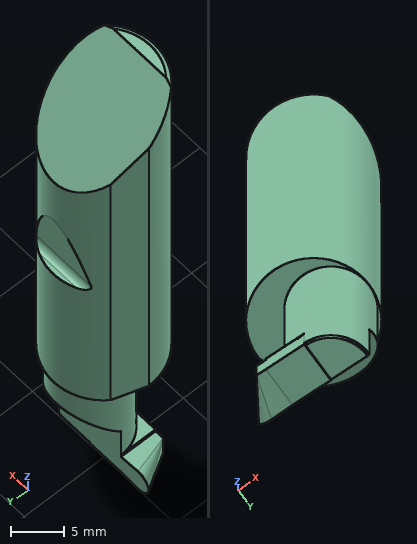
import cadquery as cq
import math

LENGTH = 63.45
SHANK_RADIUS = 6.35
SHANK_BOTTOM = 19.05
END_CHAMFER_RADIAL = 0.5
END_CHAMFER_HEIGHT = 0.25
BEVEL_START_Y = -4.5
FLAT_SWEEP_DEG = 36.0

NOTCH_BOTTOM = 37.1
NOTCH_TOP = 46.2
NOTCH_DEPTH = 1.45
NOTCH_FILLET = 0.75

NECK_RADIUS = 4.4
NECK_X = SHANK_RADIUS - NECK_RADIUS
NECK_BOTTOM = 0.3
NECK_EDGE_CHAMFER = 0.2
RELIEF_BOTTOM = 7.05

HEAD_TOP = 3.0
TIP_X = -6.3
NOSE_RADIUS = HEAD_TOP / 2
TIP_FLAT = 0.025
HEEL_X = -3.5
HEEL_BOTTOM = 0.25
HEEL_TOP = 2.8
HEEL_CORNER_RADIUS = 0.025
ROOT_X = -2.4
ROOT_BOTTOM = 0.2
ROOT_TOP = 2.8
SEAT_TOP = 3.05


def make_shank():
    """Cylinder with a chamfered end, a 45 degree bevel and one side flat."""
    base = cq.Workplane("XY", origin=(0, 0, SHANK_BOTTOM))
    shank = base.circle(SHANK_RADIUS).extrude(LENGTH - SHANK_BOTTOM)
    shank = shank.faces(">Z").edges().chamfer(END_CHAMFER_HEIGHT, END_CHAMFER_RADIAL)

    bevel_run = SHANK_RADIUS - BEVEL_START_Y
    bevel = (
        cq.Workplane("YZ")
        .polyline([(BEVEL_START_Y, LENGTH), (SHANK_RADIUS, LENGTH), (SHANK_RADIUS, LENGTH - bevel_run)])
        .close()
        .extrude(SHANK_RADIUS, both=True)
    )

    sweep = math.radians(FLAT_SWEEP_DEG)
    chord_end = (-SHANK_RADIUS * math.cos(sweep), SHANK_RADIUS * math.sin(sweep))
    arc_middle = (-SHANK_RADIUS * math.cos(sweep / 2), SHANK_RADIUS * math.sin(sweep / 2))
    side_flat = (
        cq.Workplane("XY")
        .moveTo(-SHANK_RADIUS, 0)
        .threePointArc(arc_middle, chord_end)
        .close()
        .extrude(LENGTH)
    )
    return shank.cut(bevel).cut(side_flat)


def make_notch():
    """Sloping clamping notch with a rounded root, running across the shank."""
    root_y = SHANK_RADIUS - NOTCH_DEPTH
    notch = (
        cq.Workplane("YZ")
        .polyline([(SHANK_RADIUS, NOTCH_TOP), (root_y, NOTCH_BOTTOM), (SHANK_RADIUS, NOTCH_BOTTOM)])
        .close()
        .extrude(SHANK_RADIUS, both=True)
    )
    return notch.edges("|X and <Y").fillet(NOTCH_FILLET)


def make_neck():
    """Cylindrical neck cut back to its -Y half at the lower end."""
    base = cq.Workplane("XY", origin=(NECK_X, 0, NECK_BOTTOM))
    neck = base.circle(NECK_RADIUS).extrude(SHANK_BOTTOM - NECK_BOTTOM)
    neck = neck.faces("<Z").edges().chamfer(NECK_EDGE_CHAMFER)
    relief = (
        cq.Workplane("YZ", origin=(NECK_X, 0, 0))
        .polyline([(0, 0), (0, RELIEF_BOTTOM), (NECK_RADIUS, RELIEF_BOTTOM + NECK_RADIUS), (NECK_RADIUS, 0)])
        .close()
        .extrude(NECK_RADIUS, both=True)
    )
    return neck.cut(relief)


def head_section(sketch, tip_x, bottom, top, radius):
    """Head outline in XZ: two tip corners of the given radius and a straight root."""
    diagonal = radius * (1 - math.sqrt(0.5))
    return (
        sketch.moveTo(ROOT_X, ROOT_BOTTOM)
        .lineTo(tip_x + radius, bottom)
        .threePointArc((tip_x + diagonal, bottom + diagonal), (tip_x, bottom + radius))
        .lineTo(tip_x, top - radius)
        .threePointArc((tip_x + diagonal, top - diagonal), (tip_x + radius, top))
        .lineTo(ROOT_X, ROOT_TOP)
        .close()
    )


def make_head():
    """Round-nosed cutting edge that narrows to a square heel, on a block joined to the neck."""
    edge = head_section(cq.Workplane("XZ"), TIP_X, 0, HEAD_TOP, NOSE_RADIUS - TIP_FLAT / 2)
    nose = head_section(
        edge.workplane(offset=NECK_RADIUS), HEEL_X, HEEL_BOTTOM, HEEL_TOP, HEEL_CORNER_RADIUS
    ).loft(ruled=True, combine=True)
    seat = (
        cq.Workplane("XZ")
        .polyline([(ROOT_X, ROOT_BOTTOM), (NECK_X, ROOT_BOTTOM), (NECK_X, SEAT_TOP), (ROOT_X, SEAT_TOP)])
        .close()
        .extrude(NECK_RADIUS)
    )
    return nose.union(seat)


result = make_shank().cut(make_notch()).union(make_neck()).union(make_head())